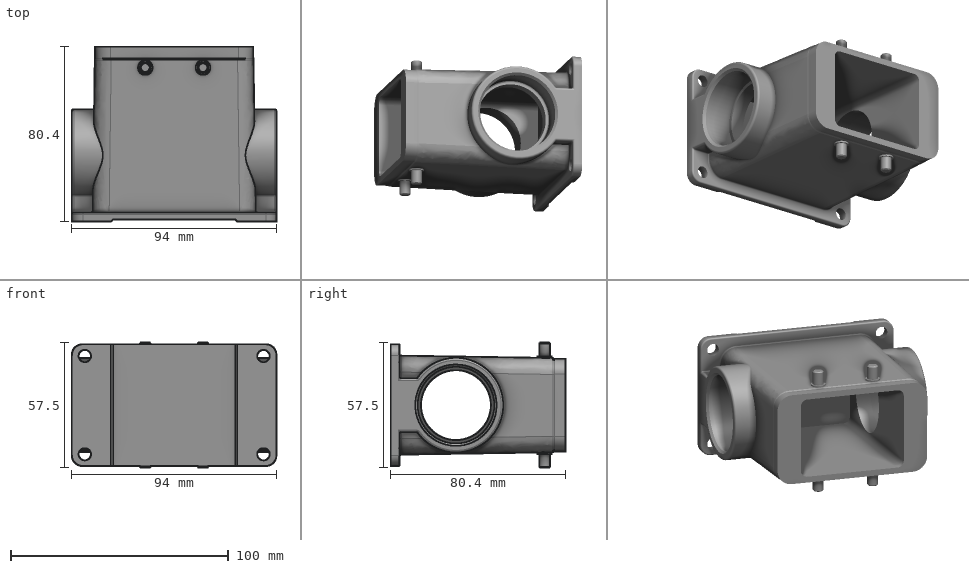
import cadquery as cq
import math

total_depth = 80.38
pin_tip_span = 57.51

flange_length = 94.0
flange_height = 56.0
flange_thickness = 4.2
flange_corner_radius = 5.0
flange_edge_radius = 0.7
foot_radius = 0.6

relief_floor_width = 56.0
relief_depth = 1.0
relief_mouth_width = relief_floor_width + 2 * relief_depth

hole_diameter = 5.6
hole_pitch_x = 82.0
hole_pitch_z = 45.0

body_base_size = (74.9, 45.6)
body_top_size = (73.0, 43.4)
body_corner_radius = 7.5
body_foot_y = flange_thickness - flange_edge_radius
body_top_y = 74.4
rim_size = (72.8, 42.6)
rim_corner_radius = 7.0
rim_start_y = 75.1

cavity_size = (50.0, 37.0)
cavity_corner_radius = 3.0
cavity_floor_y = 6.0

entry_axis_y = 30.0
entry_radius = 21.7
entry_edge_radius = 1.0
entry_bore_radius = 16.0
entry_counterbore_radius = 17.6
entry_counterbore_depth = 15.0
entry_mouth_chamfer = 1.1
entry_face_x = flange_length / 2

web_height = 24.8
web_joint_radius = 0.5

pin_diameter = 5.0
pin_tip_chamfer = 0.5
pin_pitch_x = 26.5
pin_y = 70.7
collar_diameter = 6.7
collar_span = 44.9


def rounded_rectangle(size, radius):
    return cq.Sketch().rect(*size).vertices().fillet(radius)


def section_plane(y):
    """Workplane at Y = y facing +Y, with local x along -X and local y along Z."""
    return cq.Workplane(cq.Plane(origin=(0, y, 0), xDir=(-1, 0, 0), normal=(0, 1, 0)))


def rounded_block(size, radius, start_y, end_y):
    """Straight rounded block running along +Y."""
    section = rounded_rectangle(size, radius)
    return section_plane(start_y).placeSketch(section).extrude(end_y - start_y)


def tapered_block(start_size, start_radius, start_y, end_size, end_radius, end_y):
    """Rounded block running along +Y whose section changes evenly."""
    start = rounded_rectangle(start_size, start_radius)
    end = rounded_rectangle(end_size, end_radius)
    end_location = cq.Location(cq.Vector(0, 0, end_y - start_y))
    return section_plane(start_y).placeSketch(start, end.moved(end_location)).loft(ruled=True)


def make_flange():
    plate = rounded_block((flange_length, flange_height), flange_corner_radius, 0, flange_thickness)
    return plate.faces(">Y").edges().fillet(flange_edge_radius)


def make_body():
    shell = tapered_block(
        body_base_size, body_corner_radius, body_foot_y,
        body_top_size, body_corner_radius, body_top_y,
    )
    shoulder = tapered_block(
        body_top_size, body_corner_radius, body_top_y,
        rim_size, rim_corner_radius, rim_start_y,
    )
    rim = rounded_block(rim_size, rim_corner_radius, rim_start_y, total_depth)
    return shell.union(shoulder).union(rim)


def add_foot_fillet(part):
    """Round the joint of the flange with the body and the web."""
    tolerance = 0.01
    foot_edges = [
        edge
        for edge in part.faces("|Y").edges().vals()
        if abs(edge.Center().y - flange_thickness) < tolerance
    ]
    return part.newObject(foot_edges).fillet(foot_radius)


def make_entries():
    """Both outer entry barrels as one cylinder, with the web down to the mounting face."""
    barrel = (
        cq.Workplane("YZ", origin=(-entry_face_x, entry_axis_y, 0))
        .circle(entry_radius)
        .extrude(flange_length)
    )
    web = section_plane(0).rect(flange_length, web_height).extrude(entry_axis_y)
    joint_y = entry_axis_y - math.sqrt(entry_radius**2 - (web_height / 2) ** 2)
    joints = cq.selectors.BoxSelector(
        (-flange_length, joint_y - web_joint_radius, -web_height),
        (flange_length, joint_y + web_joint_radius, web_height),
    )
    entries = barrel.union(web).edges("|X").edges(joints).fillet(web_joint_radius)
    above_mounting_face = cq.selectors.BoxSelector(
        (-flange_length, relief_depth / 2, -flange_height),
        (flange_length, total_depth, flange_height),
    )
    return entries.faces("<X or >X").edges(above_mounting_face).fillet(entry_edge_radius)


def entry_cutter(side):
    """Counterbored entry hole with a chamfered mouth, from the side face to the middle of the part."""
    mouth_radius = entry_counterbore_radius + entry_mouth_chamfer
    step_x = entry_face_x - entry_counterbore_depth
    profile = [
        (0, 0),
        (0, entry_bore_radius),
        (step_x, entry_bore_radius),
        (step_x, entry_counterbore_radius),
        (entry_face_x - entry_mouth_chamfer, entry_counterbore_radius),
        (entry_face_x, mouth_radius),
        (entry_face_x, 0),
    ]
    points = [(side * x, entry_axis_y + radius) for x, radius in profile]
    return (
        cq.Workplane("XY")
        .polyline(points)
        .close()
        .revolve(360, (0, entry_axis_y, 0), (1, entry_axis_y, 0))
    )


def make_pin(x, side):
    """Pin and collar standing on the +Z (side = 1) or -Z (side = -1) wall, rooted at its inner face."""
    wall_span = cavity_size[1]
    root = cq.Workplane("XY", origin=(x, pin_y, side * wall_span / 2))
    collar = root.circle(collar_diameter / 2).extrude(side * (collar_span - wall_span) / 2)
    pin = root.circle(pin_diameter / 2).extrude(side * (pin_tip_span - wall_span) / 2)
    tip = pin.faces(">Z" if side > 0 else "<Z")
    return collar.union(tip.chamfer(pin_tip_chamfer))


def relief_cutter():
    half_mouth = relief_mouth_width / 2
    half_floor = relief_floor_width / 2
    return (
        cq.Workplane("XY")
        .polyline([
            (-half_mouth, 0),
            (half_mouth, 0),
            (half_floor, relief_depth),
            (-half_floor, relief_depth),
        ])
        .close()
        .extrude(flange_height, both=True)
    )


def mounting_hole_cutter():
    return (
        section_plane(0)
        .rarray(hole_pitch_x, hole_pitch_z, 2, 2)
        .circle(hole_diameter / 2)
        .extrude(flange_thickness)
    )


result = make_flange().union(make_body()).union(make_entries())
result = add_foot_fillet(result)
result = result.cut(rounded_block(cavity_size, cavity_corner_radius, cavity_floor_y, total_depth))
for side in (-1, 1):
    result = result.cut(entry_cutter(side))
    for pin_x in (-pin_pitch_x / 2, pin_pitch_x / 2):
        result = result.union(make_pin(pin_x, side))
result = result.cut(relief_cutter()).cut(mounting_hole_cutter())